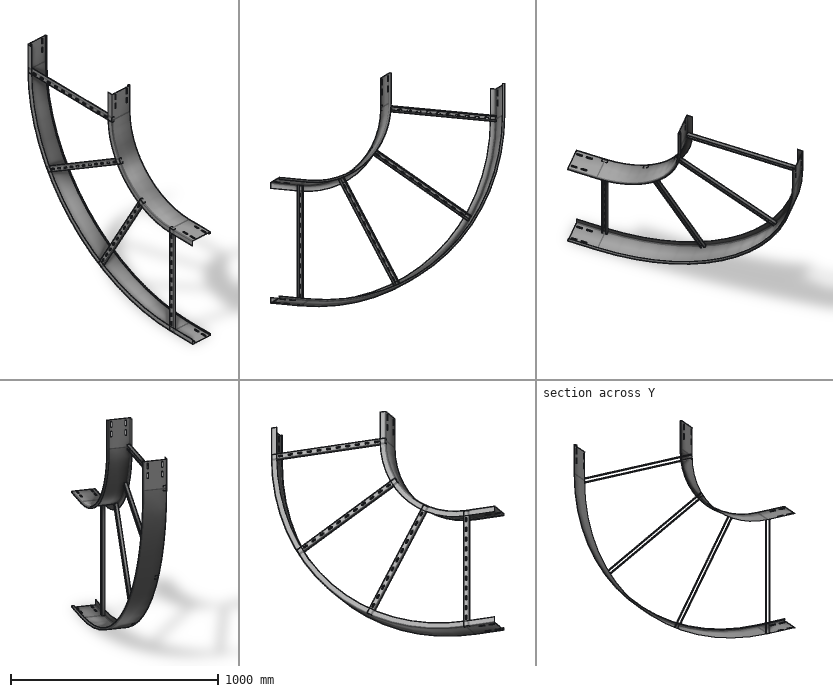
import cadquery as cq
import math


overall = 1170.0
tray_width = 600.0
arm_length = 150.0
bend_center = overall - arm_length
outer_radius = bend_center
inner_radius = outer_radius - tray_width

rail_height = 120.0
half_height = rail_height / 2
flange_width = 29.0
lip_width = 10.0
sheet = 1.5
bend_radius = 4.1

slot_width = 7.0
slot_pitch = 50.0
rail_slot_length = 29.0
rail_slot_inset = 25.0
rail_slot_spacing = 74.0

rung_count = 4
rung_width = 29.0
rung_depth = 16.0
rung_lip = 7.0
rung_bend_radius = 4.0
rung_length = tray_width - 2 * bend_radius
rung_slot_count = 11
rung_slot_length = 21.0


def toward(start, end, distance):
    """Point at the given distance from start on the way to end."""
    fraction = distance / math.dist(start, end)
    return tuple(s + fraction * (e - s) for s, e in zip(start, end))


def rounded_outline(plane, corners):
    """Closed outline through (x, y, radius) corners; it starts at a sharp one."""
    points = [corner[:2] for corner in corners]
    outline = plane.moveTo(*points[0])
    for i in range(1, len(corners)):
        radius = corners[i][2]
        if radius == 0:
            outline = outline.lineTo(*points[i])
            continue
        following = points[(i + 1) % len(points)]
        outline = outline.lineTo(*toward(points[i], points[i - 1], radius))
        outline = outline.tangentArcPoint(toward(points[i], following, radius), relative=False)
    return outline.close()


def rail_section(web_x, inward):
    """Section of a rail at the foot of its upper arm; inward (+1 or -1) is the X sense of its flanges."""
    inside_radius = bend_radius - sheet
    front = -half_height
    rear = half_height
    corners = [
        (flange_width, front, 0),
        (0, front, bend_radius),
        (0, rear, bend_radius),
        (lip_width, rear, bend_radius),
        (lip_width, rear - lip_width, 0),
        (lip_width - sheet, rear - lip_width, 0),
        (lip_width - sheet, rear - sheet, inside_radius),
        (sheet, rear - sheet, inside_radius),
        (sheet, front + sheet, inside_radius),
        (flange_width, front + sheet, 0),
    ]
    placed = [(web_x + inward * u, y, radius) for u, y, radius in corners]
    return rounded_outline(cq.Workplane("XY", origin=(0, 0, bend_center)), placed)


def slot_cutters(web_x):
    """Cutters for the four slots through the web of the upper arm."""
    centers = [
        (row * rail_slot_spacing / 2, overall - rail_slot_inset - column * slot_pitch)
        for column in (0, 1)
        for row in (-1, 1)
    ]
    return (
        cq.Workplane("YZ", origin=(web_x, 0, 0))
        .pushPoints(centers)
        .slot2D(rail_slot_length, slot_width, 90)
        .extrude(2 * sheet, both=True)
    )


def make_rail(web_radius, inward):
    """Rail whose web is bent to the given radius between two straight arms."""
    web_x = bend_center - web_radius
    bend = rail_section(web_x, inward).revolve(90, (bend_center, 0), (bend_center, -1))
    upper_arm = rail_section(web_x, inward).extrude(arm_length).cut(slot_cutters(web_x))
    lower_arm = upper_arm.mirror((1, 0, -1))
    return bend.union(upper_arm).union(lower_arm)


def make_rung(angle):
    """Lipped channel seated on the front flanges, turned about the bend axis."""
    start_x = bend_center - outer_radius + bend_radius
    front = -half_height + sheet
    back = front + rung_depth
    half_width = rung_width / 2
    half_mouth = half_width - rung_lip
    inside_radius = rung_bend_radius - sheet
    upper_half = [
        (back - sheet, half_mouth, 0),
        (back, half_mouth, 0),
        (back, half_width, rung_bend_radius),
        (front, half_width, rung_bend_radius),
    ]
    inside_upper_half = [
        (front + sheet, half_width - sheet, inside_radius),
        (back - sheet, half_width - sheet, inside_radius),
    ]
    lower_half = [(y, -z, radius) for y, z, radius in reversed(upper_half)]
    inside_lower_half = [(y, -z, radius) for y, z, radius in reversed(inside_upper_half)]
    channel = rounded_outline(
        cq.Workplane("YZ", origin=(start_x, 0, bend_center)),
        upper_half + lower_half + inside_lower_half + inside_upper_half,
    ).extrude(rung_length)
    slots = (
        cq.Workplane("XZ", origin=(start_x + rung_length / 2, 0, bend_center))
        .workplane(offset=-front - 2 * sheet)
        .rarray(slot_pitch, 12, rung_slot_count, 1)
        .slot2D(rung_slot_length, slot_width)
        .extrude(3 * sheet)
    )
    axis_start = (bend_center, 0, bend_center)
    axis_end = (bend_center, -1, bend_center)
    return channel.cut(slots).rotate(axis_start, axis_end, angle)


outer_rail = make_rail(outer_radius, 1)
inner_rail = make_rail(inner_radius, -1)

rung_step = 90 / (rung_count - 1)
rungs = [make_rung(i * rung_step) for i in range(rung_count)]

result = cq.Compound.makeCompound(
    [outer_rail.val(), inner_rail.val(), *[rung.val() for rung in rungs]]
)